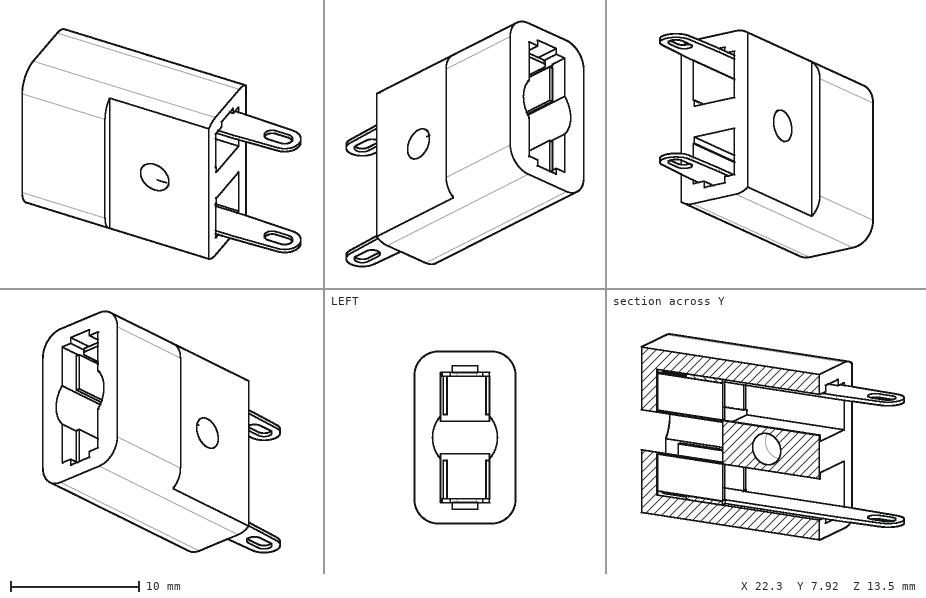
import cadquery as cq

HOUSING_LENGTH = 16.0
HOUSING_WIDTH = 7.92
HOUSING_HEIGHT = 13.46
CORNER_RADIUS = 1.905
SHOULDER_X = 7.28
WAIST_WIDTH = 6.35
CROSS_HOLE_DIAMETER = 2.49
CROSS_HOLE_X = 11.24

BAY_SIZE = 3.81
BAY_OUTER_Z = 5.08
BORE_DIAMETER = 5.08
MOUTH_DEPTH = SHOULDER_X
KEYWAY_WIDTH = 1.98
KEYWAY_DEPTH = 0.51

SHEET = 0.305
PLATE_INNER_Z = BAY_OUTER_Z - SHEET
TERMINAL_Y = -0.115
TERMINAL_END_X = 22.35
TONGUE_FRONT_X = 1.35
TONGUE_WIDTH = 2.54
TONGUE_CORNER_RADIUS = 0.52
BASE_FRONT_X = 4.0
BASE_WIDTH = 3.79
LEG_FRONT_X = 1.42
LEG_END_X = SHOULDER_X
LEG_OUTER_WIDTH = 3.65
LEG_TIP_Z = 1.78

TAIL_WIDTH = 2.83
TAPER_START_X = 17.24
TAIL_TIP_RADIUS = 1.27
TAIL_SLOT_X = 20.53
TAIL_SLOT_LENGTH = 2.34
TAIL_SLOT_WIDTH = 1.24


def box(x_start, x_end, y_centre, width, z_low, z_high):
    """Rectangular block between two X stations and two heights."""
    return (
        cq.Workplane("XY")
        .box(x_end - x_start, width, z_high - z_low, centered=(False, True, False))
        .translate((x_start, y_centre, z_low))
    )


def mirrored_in_z(shape):
    """The upper shape joined with its image below the axis."""
    return shape.union(shape.mirror("XY"))


def housing_blank():
    """Rounded block narrowed to flat sides behind the shoulder."""
    blank = (
        cq.Workplane("XY")
        .box(HOUSING_LENGTH, HOUSING_WIDTH, HOUSING_HEIGHT, centered=(False, True, True))
        .edges("|X")
        .fillet(CORNER_RADIUS)
    )
    half_height = HOUSING_HEIGHT / 2
    mouth_end = box(0, SHOULDER_X, 0, HOUSING_WIDTH, -half_height, half_height)
    waist = box(SHOULDER_X, HOUSING_LENGTH, 0, WAIST_WIDTH, -half_height, half_height)
    return blank.intersect(mouth_end.union(waist))


def housing_cavity():
    """Two through bays with keyways, joined near the mouth by a slot and a round bore."""
    bay = box(0, HOUSING_LENGTH, 0, BAY_SIZE, BAY_OUTER_Z - BAY_SIZE, BAY_OUTER_Z)
    keyway = box(0, HOUSING_LENGTH, 0, KEYWAY_WIDTH, BAY_OUTER_Z, BAY_OUTER_Z + KEYWAY_DEPTH)
    mouth = box(0, MOUTH_DEPTH, 0, BAY_SIZE, -BAY_OUTER_Z, BAY_OUTER_Z)
    bore = cq.Workplane("YZ").circle(BORE_DIAMETER / 2).extrude(MOUTH_DEPTH)
    return mirrored_in_z(bay.union(keyway)).union(mouth).union(bore)


def terminal_seat():
    """Side reliefs in the bays that take the edges of the off-centre terminals."""
    relief = box(LEG_FRONT_X, HOUSING_LENGTH, TERMINAL_Y, BASE_WIDTH, LEG_TIP_Z, BAY_OUTER_Z)
    return mirrored_in_z(relief)


def make_housing():
    cross_hole = (
        cq.Workplane("XZ")
        .center(CROSS_HOLE_X, 0)
        .circle(CROSS_HOLE_DIAMETER / 2)
        .extrude(HOUSING_WIDTH / 2, both=True)
    )
    return housing_blank().cut(housing_cavity()).cut(terminal_seat()).cut(cross_hole)


def terminal_tongue():
    """Flat tongue between the legs, rounded at its front corners."""
    tongue = box(
        TONGUE_FRONT_X, BASE_FRONT_X, TERMINAL_Y, TONGUE_WIDTH, PLATE_INNER_Z, BAY_OUTER_Z
    )
    return tongue.edges("|Z and <X").fillet(TONGUE_CORNER_RADIUS)


def terminal_leg(side):
    """Upright spring leg; side is +1 or -1 along Y."""
    leg_y = TERMINAL_Y + side * (LEG_OUTER_WIDTH - SHEET) / 2
    return box(LEG_FRONT_X, LEG_END_X, leg_y, SHEET, LEG_TIP_Z, PLATE_INNER_Z)


def terminal_tail():
    """Strip running out of the housing, tapering to a round slotted tip."""
    tip_x = TERMINAL_END_X - TAIL_TIP_RADIUS
    strip = (
        cq.Workplane("XY")
        .moveTo(LEG_END_X, -TAIL_WIDTH / 2)
        .lineTo(TAPER_START_X, -TAIL_WIDTH / 2)
        .lineTo(tip_x, -TAIL_TIP_RADIUS)
        .threePointArc((TERMINAL_END_X, 0), (tip_x, TAIL_TIP_RADIUS))
        .lineTo(TAPER_START_X, TAIL_WIDTH / 2)
        .lineTo(LEG_END_X, TAIL_WIDTH / 2)
        .close()
        .extrude(SHEET)
    )
    slot = (
        cq.Workplane("XY")
        .center(TAIL_SLOT_X, 0)
        .slot2D(TAIL_SLOT_LENGTH, TAIL_SLOT_WIDTH)
        .extrude(SHEET)
    )
    return strip.cut(slot).translate((0, TERMINAL_Y, PLATE_INNER_Z))


def make_upper_terminal():
    base = box(
        BASE_FRONT_X, LEG_END_X, TERMINAL_Y, BASE_WIDTH, PLATE_INNER_Z, BAY_OUTER_Z
    )
    terminal = base.union(terminal_tongue()).union(terminal_tail())
    for side in (1, -1):
        terminal = terminal.union(terminal_leg(side))
    return terminal


housing = make_housing()
upper_terminal = make_upper_terminal()
lower_terminal = upper_terminal.mirror("XY")

result = cq.Compound.makeCompound([housing.val(), upper_terminal.val(), lower_terminal.val()])